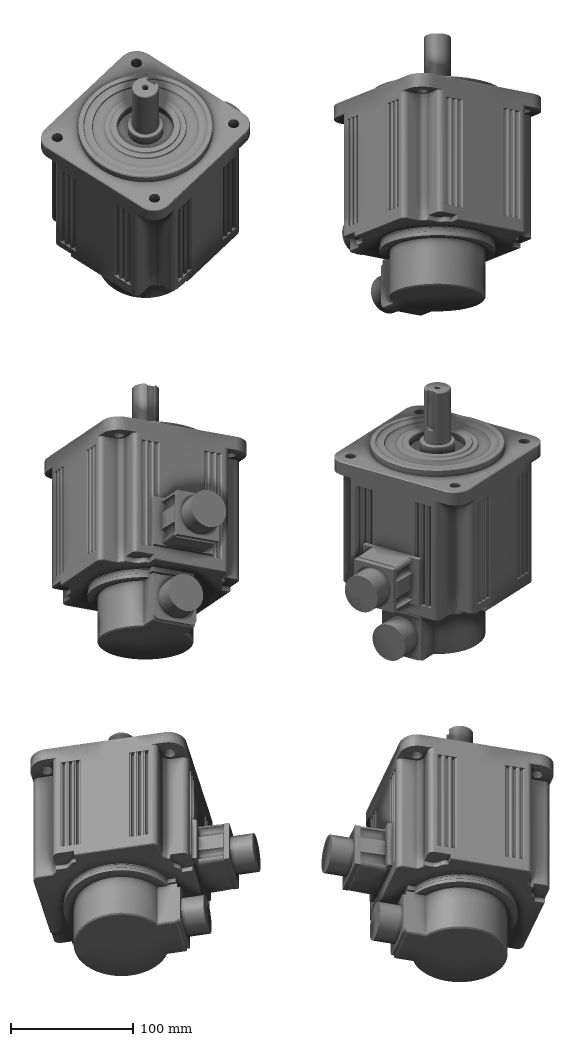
import cadquery as cq
COVER_TOP = 40.0
REAR_DISC_MID = 43.4
HOUSING_BOTTOM = 47.5
FIN_BOTTOM = 58.3
FIN_TOP = 150.0
FLANGE_BOTTOM = 155.5
FLANGE_TOP = 167.3
PILOT_TOP = 173.5
COLLAR_TOP = 175.5
SHAFT_TOP = 222.5

EDGE_BREAK = 0.7
FULL_TURN = 360
FACE_COUNT = 4
QUARTER_TURN = FULL_TURN / FACE_COUNT

SIDE = 130.0
HALF_SIDE = SIDE / 2
FLANGE_CORNER_RADIUS = 15.0
BOLT_OFFSET = 51.2
BOLT_HOLE_RADIUS = 4.7

NOTCH_WALL = 44.0
NOTCH_CHAMFER = 4.0
NOTCH_FILLET = 3.5
NOTCH_OVERRUN = 2.2
HOUSING_FILLET = 5.0

GROOVE_COUNT = 3
GROOVE_PITCH = 5.8
GROOVE_BAND_CENTER = 28.7
GROOVE_WIDTH = 2.5
GROOVE_DEPTH = 4.0
GROOVE_LIP_RADIUS = 1.3

RECESS_END = -25.5
RECESS_FLAT_END = -37.2
RECESS_DEEP = 15.0
RECESS_SHALLOW = 8.7
RECESS_HEIGHT = 4.2

PILOT_RADIUS = 55.0
RIM_STEP_RADIUS = 50.5
OUTER_TROUGH_RADIUS = 43.4
INNER_TROUGH_RADIUS = 33.4
INNER_STEP_RADIUS = 28.5
SEAL_BORE_RADIUS = 23.1
STEP_DEPTH = 1.1
STEP_SLOPE = 0.7
SEAL_BORE_FLOOR = 166.7

COLLAR_RADIUS = 14.5
SHAFT_RADIUS = 11.0
KEYWAY_WIDTH = 8.0
KEYWAY_FLOOR = 7.1
KEYWAY_END = 187.3
CENTER_HOLE_RADIUS = 2.5
CENTER_HOLE_DEPTH = 13.4
DRILL_POINT_HEIGHT = 1.5

COVER_RADIUS = 39.2
COVER_CHAMFER = 1.1
REAR_DISC_RADIUS = 47.5
UPPER_DISC_RADIUS = 47.0
DISC_LIP_HEIGHT = 1.0

CONNECTOR_WIDTH = 38.5
CONNECTOR_RADIUS = 16.0

PAD_END = 49.5
SIGNAL_BLOCK_END = 50.5
SIGNAL_BLOCK_TOP = 41.4
SIGNAL_PLATE_END = 53.2
SIGNAL_PLATE_CORNER = 4.2
SIGNAL_END = 71.9
SIGNAL_Z = 20.5

POWER_Z = 80.0
POWER_BASE_WIDTH = 54.5
POWER_BASE_HEIGHT = 41.5
POWER_BASE_END = 68.8
POWER_BODY_SIZE = 41.4
POWER_BODY_CORNER = 4.5
POWER_BODY_TAPER = 1.5
POWER_BODY_END = 89.7
POWER_PLATE_END = 94.1
POWER_END = 112.8
SCOOP_RADIUS = 5.1
SCOOP_X = 22.0
SCOOP_Z = 12.0


def disc(radius, bottom, top):
    return cq.Workplane("XY").workplane(offset=bottom).circle(radius).extrude(top - bottom)


def facing_y(start, height):
    """Sketch plane at Y = start whose normal points to +Y, centred on the given height."""
    return cq.Workplane("XZ", origin=(0, start, height)).transformed(rotate=(0, 180, 0))


def quarter_turns(solid):
    """The solid together with its copies turned about the motor axis."""
    copies = solid
    for turn in range(1, FACE_COUNT):
        copies = copies.add(solid.rotate((0, 0, 0), (0, 0, 1), QUARTER_TURN * turn))
    return copies.combine()


def make_flange():
    return (
        cq.Workplane("XY").workplane(offset=FLANGE_BOTTOM)
        .rect(SIDE, SIDE).extrude(FLANGE_TOP - FLANGE_BOTTOM)
        .edges("|Z").fillet(FLANGE_CORNER_RADIUS)
        .faces(">Z").edges().chamfer(EDGE_BREAK)
    )


def make_corner_notch():
    """Tool that removes the corner at +X +Y, with a blunted inner corner."""
    beyond = HALF_SIDE + NOTCH_OVERRUN
    low = NOTCH_WALL - NOTCH_CHAMFER
    high = NOTCH_WALL + 2 * NOTCH_CHAMFER
    chamfer_ends = cq.selectors.BoxSelector((low, low, HOUSING_BOTTOM), (high, high, FLANGE_BOTTOM))
    height = FLANGE_BOTTOM - HOUSING_BOTTOM
    return (
        cq.Workplane("XY").workplane(offset=HOUSING_BOTTOM)
        .moveTo(NOTCH_WALL, beyond)
        .lineTo(NOTCH_WALL, NOTCH_WALL + NOTCH_CHAMFER)
        .lineTo(NOTCH_WALL + NOTCH_CHAMFER, NOTCH_WALL)
        .lineTo(beyond, NOTCH_WALL)
        .lineTo(beyond, beyond)
        .close().extrude(height)
        .edges("|Z").edges(chamfer_ends).fillet(NOTCH_FILLET)
    )


def make_groove(center):
    """Tool for one groove in the -Y face, with a round floor and a mouth flaring over rounded lips."""
    half = GROOVE_WIDTH / 2
    mouth = half + GROOVE_LIP_RADIUS
    lip_y = -HALF_SIDE + GROOVE_LIP_RADIUS
    floor_y = -HALF_SIDE + GROOVE_DEPTH
    return (
        cq.Workplane("XY", origin=(center, 0, FIN_BOTTOM))
        .moveTo(-mouth, -HALF_SIDE)
        .radiusArc((-half, lip_y), GROOVE_LIP_RADIUS)
        .lineTo(-half, floor_y - half)
        .threePointArc((0, floor_y), (half, floor_y - half))
        .lineTo(half, lip_y)
        .radiusArc((mouth, -HALF_SIDE), GROOVE_LIP_RADIUS)
        .close().extrude(FIN_TOP - FIN_BOTTOM)
    )


def make_face_grooves():
    grooves = cq.Workplane("XY")
    for side in (-1, 1):
        for index in range(GROOVE_COUNT):
            step = index - (GROOVE_COUNT - 1) / 2
            grooves = grooves.add(make_groove(side * GROOVE_BAND_CENTER + step * GROOVE_PITCH))
    return grooves.combine()


def make_face_recess():
    """Tool for a recess open to the -Y face and the notch, its back wall curving out in an S."""
    deep_y = -HALF_SIDE + RECESS_DEEP
    shallow_y = -HALF_SIDE + RECESS_SHALLOW
    bend = ((RECESS_FLAT_END + RECESS_END) / 2, (deep_y + shallow_y) / 2)
    return (
        cq.Workplane("XY").workplane(offset=HOUSING_BOTTOM)
        .moveTo(-NOTCH_WALL, -HALF_SIDE)
        .lineTo(-NOTCH_WALL, deep_y)
        .lineTo(RECESS_FLAT_END, deep_y)
        .tangentArcPoint(bend, relative=False)
        .tangentArcPoint((RECESS_END, shallow_y), relative=False)
        .lineTo(RECESS_END, -HALF_SIDE)
        .close().extrude(RECESS_HEIGHT)
    )


def make_housing():
    height = FLANGE_BOTTOM - HOUSING_BOTTOM
    housing = cq.Workplane("XY").workplane(offset=HOUSING_BOTTOM).rect(SIDE, SIDE).extrude(height)
    housing = housing.cut(quarter_turns(make_corner_notch()))
    for face in ("<X", ">X", "<Y", ">Y"):
        housing = housing.faces(face).edges("|Z").fillet(HOUSING_FILLET)
    housing = housing.faces("<Z").edges().chamfer(EDGE_BREAK)
    housing = housing.cut(quarter_turns(make_face_grooves()))
    return housing.cut(quarter_turns(make_face_recess()))


def make_pilot():
    """Turned spigot whose face steps down to a trough, then up again to the seal bore."""
    first_level = PILOT_TOP - STEP_DEPTH
    trough = PILOT_TOP - 2 * STEP_DEPTH
    half_slope = STEP_SLOPE / 2
    return (
        cq.Workplane("XZ")
        .moveTo(SEAL_BORE_RADIUS, FLANGE_TOP)
        .lineTo(PILOT_RADIUS, FLANGE_TOP)
        .lineTo(PILOT_RADIUS, PILOT_TOP - EDGE_BREAK)
        .lineTo(PILOT_RADIUS - EDGE_BREAK, PILOT_TOP)
        .lineTo(RIM_STEP_RADIUS + half_slope, PILOT_TOP)
        .lineTo(RIM_STEP_RADIUS - half_slope, first_level)
        .lineTo(OUTER_TROUGH_RADIUS + half_slope, first_level)
        .lineTo(OUTER_TROUGH_RADIUS - half_slope, trough)
        .lineTo(INNER_TROUGH_RADIUS + half_slope, trough)
        .lineTo(INNER_TROUGH_RADIUS - half_slope, first_level)
        .lineTo(INNER_STEP_RADIUS + half_slope, first_level)
        .lineTo(INNER_STEP_RADIUS - half_slope, PILOT_TOP)
        .lineTo(SEAL_BORE_RADIUS + EDGE_BREAK, PILOT_TOP)
        .lineTo(SEAL_BORE_RADIUS, PILOT_TOP - EDGE_BREAK)
        .close().revolve(FULL_TURN, (0, 0, 0), (0, 1, 0))
    )


def make_shaft():
    collar = disc(COLLAR_RADIUS, SEAL_BORE_FLOOR, COLLAR_TOP).faces(">Z").edges().chamfer(EDGE_BREAK)
    shaft = disc(SHAFT_RADIUS, SEAL_BORE_FLOOR, SHAFT_TOP)
    half_key = KEYWAY_WIDTH / 2
    keyway = (
        facing_y(KEYWAY_FLOOR, 0)
        .moveTo(-half_key, SHAFT_TOP)
        .lineTo(-half_key, KEYWAY_END + half_key)
        .threePointArc((0, KEYWAY_END), (half_key, KEYWAY_END + half_key))
        .lineTo(half_key, SHAFT_TOP)
        .close().extrude(SHAFT_RADIUS)
    )
    floor = SHAFT_TOP - CENTER_HOLE_DEPTH
    center_hole = (
        cq.Workplane("XZ")
        .moveTo(0, SHAFT_TOP)
        .lineTo(CENTER_HOLE_RADIUS, SHAFT_TOP)
        .lineTo(CENTER_HOLE_RADIUS, floor)
        .lineTo(0, floor - DRILL_POINT_HEIGHT)
        .close().revolve(FULL_TURN, (0, 0, 0), (0, 1, 0))
    )
    shaft = shaft.cut(keyway).cut(center_hole).faces(">Z").edges().chamfer(EDGE_BREAK)
    return collar.union(shaft)


def make_rear_discs():
    """Two stacked discs behind the housing, the upper one with a lip and a pad to +Y."""
    lower = disc(REAR_DISC_RADIUS, COVER_TOP, REAR_DISC_MID).faces(">Z").edges().chamfer(EDGE_BREAK)
    upper = disc(UPPER_DISC_RADIUS, REAR_DISC_MID, HOUSING_BOTTOM)
    lip = disc(REAR_DISC_RADIUS, HOUSING_BOTTOM - DISC_LIP_HEIGHT, HOUSING_BOTTOM)
    pad_thickness = HOUSING_BOTTOM - REAR_DISC_MID
    pad = cq.Workplane("XY").box(CONNECTOR_WIDTH, PAD_END, pad_thickness, centered=(True, False, False))
    return lower.union(upper).union(lip).union(pad.translate((0, 0, REAR_DISC_MID)))


def make_rear_cover():
    cover = disc(COVER_RADIUS, 0, COVER_TOP)
    block = cq.Workplane("XY").box(
        CONNECTOR_WIDTH, SIGNAL_BLOCK_END, SIGNAL_BLOCK_TOP, centered=(True, False, False)
    )
    return cover.union(block).faces("<Z").edges().chamfer(COVER_CHAMFER)


def make_signal_connector():
    plate = (
        facing_y(SIGNAL_BLOCK_END, SIGNAL_Z)
        .rect(CONNECTOR_WIDTH, CONNECTOR_WIDTH).extrude(SIGNAL_PLATE_END - SIGNAL_BLOCK_END)
        .edges("|Y").fillet(SIGNAL_PLATE_CORNER)
    )
    barrel = (
        facing_y(SIGNAL_PLATE_END, SIGNAL_Z)
        .circle(CONNECTOR_RADIUS).extrude(SIGNAL_END - SIGNAL_PLATE_END)
    )
    return plate.union(barrel)


def make_power_connector():
    base = (
        facing_y(HALF_SIDE, POWER_Z)
        .rect(POWER_BASE_WIDTH, POWER_BASE_HEIGHT).extrude(POWER_BASE_END - HALF_SIDE)
    )
    body_length = POWER_BODY_END - POWER_BASE_END
    body_outline = cq.Sketch().rect(POWER_BODY_SIZE, POWER_BODY_SIZE).vertices().fillet(POWER_BODY_CORNER)
    body = (
        facing_y(POWER_BASE_END, POWER_Z)
        .placeSketch(body_outline).extrude(body_length, taper=POWER_BODY_TAPER)
    )
    scoops = (
        facing_y(POWER_BASE_END, POWER_Z)
        .rect(2 * SCOOP_X, 2 * SCOOP_Z, forConstruction=True).vertices()
        .circle(SCOOP_RADIUS).extrude(body_length)
    )
    plate = (
        facing_y(POWER_BODY_END, POWER_Z)
        .rect(CONNECTOR_WIDTH, CONNECTOR_WIDTH).extrude(POWER_PLATE_END - POWER_BODY_END)
    )
    barrel = (
        facing_y(POWER_PLATE_END, POWER_Z)
        .circle(CONNECTOR_RADIUS).extrude(POWER_END - POWER_PLATE_END)
    )
    return base.union(body.cut(scoops)).union(plate).union(barrel)


bolt_holes = (
    cq.Workplane("XY").workplane(offset=FLANGE_BOTTOM)
    .rect(2 * BOLT_OFFSET, 2 * BOLT_OFFSET, forConstruction=True).vertices()
    .circle(BOLT_HOLE_RADIUS).extrude(FLANGE_TOP - FLANGE_BOTTOM)
)

result = (
    make_flange()
    .union(make_housing())
    .cut(bolt_holes)
    .cut(disc(SEAL_BORE_RADIUS, SEAL_BORE_FLOOR, FLANGE_TOP))
    .union(make_pilot())
    .union(make_shaft())
    .union(make_rear_discs())
    .union(make_rear_cover())
    .union(make_signal_connector())
    .union(make_power_connector())
)